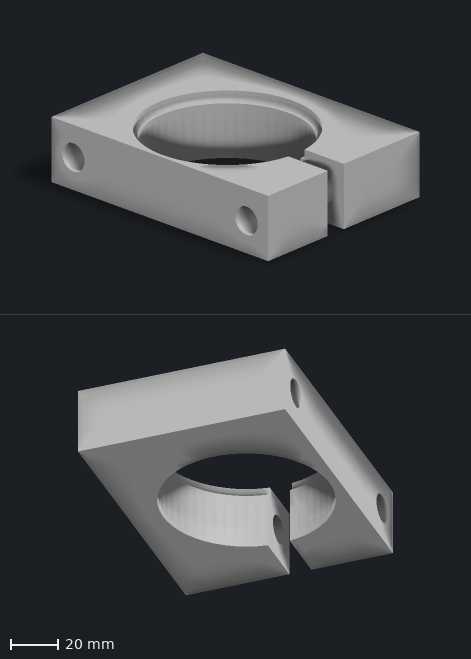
import cadquery as cq

length = 125.0
width = 94.0
height = 30.0

bore_diameter = 75.5
bore_y = -5.0
seat_step = 2.4
seat_wall_depth = 2.5

slot_width = 10.0

bolt_diameter = 13.0
bolt_spacing = 100.0


def make_bore():
    """Revolved bore whose seat wall curves inward to the bore in a quarter round."""
    bore_radius = bore_diameter / 2
    seat_radius = bore_radius + seat_step
    top = height / 2
    wall_bottom = top - seat_wall_depth
    ledge = wall_bottom - seat_step
    diagonal = seat_step * 0.5 ** 0.5
    profile = (
        cq.Workplane("XZ")
        .moveTo(0, -top)
        .lineTo(bore_radius, -top)
        .lineTo(bore_radius, ledge)
        .threePointArc(
            (bore_radius + diagonal, wall_bottom - diagonal),
            (seat_radius, wall_bottom),
        )
        .lineTo(seat_radius, top)
        .lineTo(0, top)
        .close()
    )
    return profile.revolve(360, (0, 0, 0), (0, 1, 0)).translate((0, bore_y, 0))


def make_slot():
    """Straight slot from the bore axis out through the +X side."""
    slot = cq.Workplane("XY").box(length / 2, slot_width, height)
    return slot.translate((length / 4, bore_y, 0))


def make_bolt_holes():
    """Two holes through the full width at mid height."""
    return (
        cq.Workplane("XZ")
        .pushPoints([(-bolt_spacing / 2, 0), (bolt_spacing / 2, 0)])
        .circle(bolt_diameter / 2)
        .extrude(width / 2, both=True)
    )


block = cq.Workplane("XY").box(length, width, height)
result = block.cut(make_bore()).cut(make_slot()).cut(make_bolt_holes())